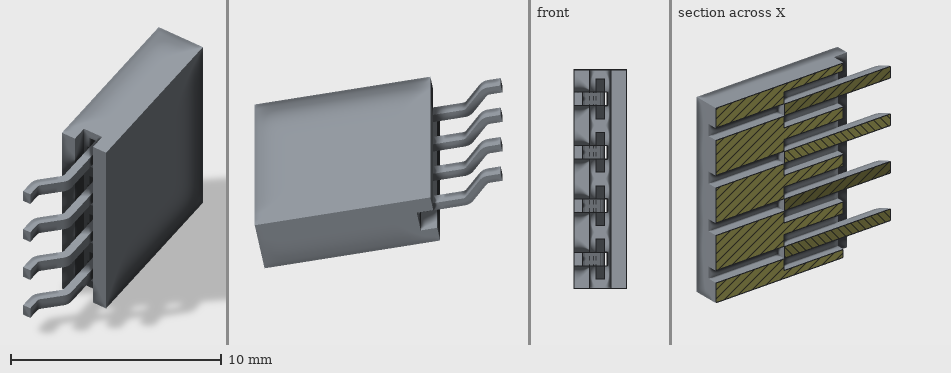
import cadquery as cq
import math

HOUSING_WIDTH = 2.5
HOUSING_LENGTH = 8.5
HOUSING_HEIGHT = 10.41
GROOVE_WIDTH = 1.02
GROOVE_DEPTH = 0.8

PIN_COUNT = 4
PIN_SPAN = 7.62
PIN_PITCH = PIN_SPAN / (PIN_COUNT - 1)
PIN_LEVELS = [(i - (PIN_COUNT - 1) / 2) * PIN_PITCH for i in range(PIN_COUNT)]

PIN_THICKNESS = 0.4
PIN_HEIGHT = 0.64
OVERALL_LENGTH = 11.9
PIN_REACH = OVERALL_LENGTH - HOUSING_LENGTH
FOOT_LENGTH = 0.61
BEND_ANGLE = math.radians(45)
BEND_INNER_RADIUS = 0.24

HOLE_WIDTH = 0.64
SLOT_HEIGHT = 1.89
SLOT_DEPTH = 3.57
SLOT_END = GROOVE_DEPTH + SLOT_DEPTH


def y_block(width, start, end, height, level=0.0):
    """Box centred on X and on the given Z level, running from start to end along Y."""
    length = end - start
    return cq.Workplane("XY").box(width, length, height).translate((0, start + length / 2, level))


def make_housing():
    housing = y_block(HOUSING_WIDTH, 0, HOUSING_LENGTH, HOUSING_HEIGHT)
    housing = housing.cut(y_block(GROOVE_WIDTH, 0, GROOVE_DEPTH, HOUSING_HEIGHT))
    for level in PIN_LEVELS:
        housing = housing.cut(y_block(HOLE_WIDTH, GROOVE_DEPTH, HOUSING_LENGTH, PIN_HEIGHT, level))
        housing = housing.cut(y_block(PIN_THICKNESS, GROOVE_DEPTH, SLOT_END, SLOT_HEIGHT, level))
    return housing


def make_pin(level):
    foot_x = (PIN_THICKNESS - HOUSING_WIDTH) / 2
    bend_radius = BEND_INNER_RADIUS + PIN_THICKNESS / 2
    bend_x = bend_radius * (1 - math.cos(BEND_ANGLE))
    bend_y = bend_radius * math.sin(BEND_ANGLE)
    ramp_x = -foot_x - 2 * bend_x
    ramp_y = ramp_x / math.tan(BEND_ANGLE)

    foot_bend_y = FOOT_LENGTH - PIN_REACH
    ramp_start = (foot_x + bend_x, foot_bend_y + bend_y)
    ramp_end = (-bend_x, ramp_start[1] + ramp_y)
    centreline = (
        cq.Workplane("XY", origin=(0, 0, level))
        .moveTo(foot_x, -PIN_REACH)
        .lineTo(foot_x, foot_bend_y)
        .tangentArcPoint(ramp_start, relative=False)
        .lineTo(*ramp_end)
        .tangentArcPoint((0, ramp_end[1] + bend_y), relative=False)
        .lineTo(0, SLOT_END)
    )
    section = cq.Workplane("XZ", origin=(foot_x, -PIN_REACH, level)).rect(PIN_THICKNESS, PIN_HEIGHT)
    return section.sweep(centreline)


housing = make_housing()
pins = [make_pin(level) for level in PIN_LEVELS]

result = cq.Compound.makeCompound([housing.val(), *[pin.val() for pin in pins]])